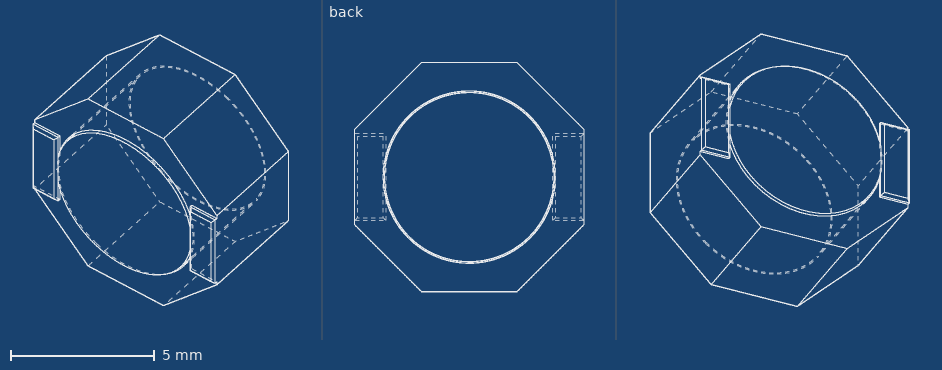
import cadquery as cq
import math

sides = 8
width = 8.0
ring_depth = 4.1
bore_diameter = 6.0
core_gap = 0.05
core_projection = 0.1
pad_width = 1.1
pad_height = 3.04
pad_thickness = 0.2
pad_chamfer = 0.1


def front_plane(offset=0.0):
    """Workplane facing -Y; the ring's front face is at offset zero."""
    return cq.Workplane("XZ").workplane(offset=offset)


def octagonal_ring():
    corner_diameter = width / math.cos(math.pi / sides)
    outline = front_plane(-ring_depth).polygon(sides, corner_diameter).extrude(ring_depth)
    outline = outline.rotate((0, 0, 0), (0, 1, 0), 180 / sides)
    bore = front_plane(-ring_depth).circle(bore_diameter / 2).extrude(ring_depth)
    return outline.cut(bore)


def core():
    radius = bore_diameter / 2 - core_gap
    return front_plane(-ring_depth).circle(radius).extrude(ring_depth + core_projection)


def pad(side):
    """Terminal pad flush with the ring's side, bridging the gap to the core."""
    center_x = side * (width - pad_width) / 2
    block = front_plane().center(center_x, 0).rect(pad_width, pad_height).extrude(pad_thickness)
    return block.faces("<Y").chamfer(pad_chamfer)


result = octagonal_ring().union(core())
for side in (-1, 1):
    result = result.union(pad(side))